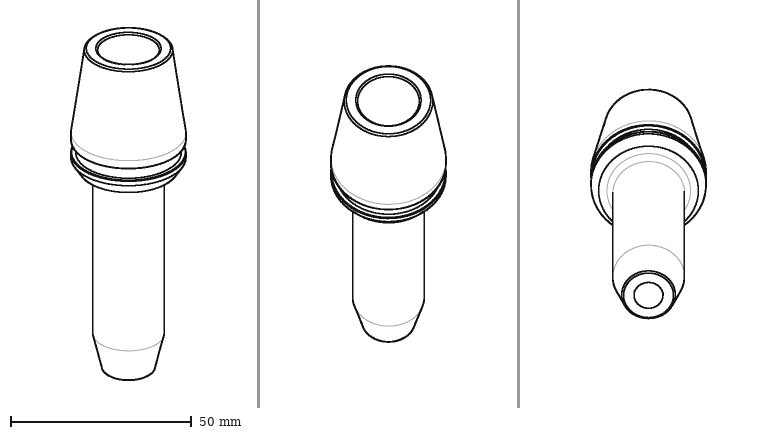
import cadquery as cq
import math

length = 101.6
collar_diameter = 31.9
groove_diameter = 29.3
collar_base_diameter = 27.6
shaft_diameter = 19.9
nose_diameter = 14.6
head_top_diameter = 24.4

nose_height = 11.2
shaft_top = 62.0
collar_base = 63.6
lower_rim_bottom = 67.0
groove_bottom = 68.6
groove_top = 72.2
cone_bottom = 75.0

head_top_chamfer = 0.5
nose_chamfer = 0.4
groove_chamfer = 0.2
shaft_fillet = collar_base - shaft_top

socket_diameter = 17.1
socket_chamfer = 0.5
socket_depth = 30.5
throat_diameter = 9.5
throat_depth = 10.2
through_diameter = 8.0
funnel_angle = 118.0


def make_body():
    """Revolve the outside outline, drawn as radius against height."""
    shaft_radius = shaft_diameter / 2
    fillet_center_radius = shaft_radius + shaft_fillet
    fillet_reach = shaft_fillet * math.sqrt(0.5)
    collar_radius = collar_diameter / 2
    return (
        cq.Workplane("XZ")
        .lineTo(nose_diameter / 2, 0)
        .lineTo(shaft_radius, nose_height)
        .lineTo(shaft_radius, shaft_top)
        .threePointArc(
            (fillet_center_radius - fillet_reach, shaft_top + fillet_reach),
            (fillet_center_radius, collar_base),
        )
        .lineTo(collar_base_diameter / 2, collar_base)
        .lineTo(collar_radius, lower_rim_bottom)
        .lineTo(collar_radius, cone_bottom)
        .lineTo(head_top_diameter / 2, length)
        .lineTo(0, length)
        .close()
        .revolve(360, (0, 0, 0), (0, 1, 0))
        .faces(">Z").chamfer(head_top_chamfer)
        .faces("<Z").chamfer(nose_chamfer)
    )


def make_groove():
    """Ring that cuts the collar groove, with its two rims chamfered."""
    floor_radius = groove_diameter / 2
    rim_radius = collar_diameter / 2
    chamfer_start = rim_radius - groove_chamfer
    return (
        cq.Workplane("XZ")
        .moveTo(floor_radius, groove_bottom)
        .lineTo(chamfer_start, groove_bottom)
        .lineTo(rim_radius, groove_bottom - groove_chamfer)
        .lineTo(rim_radius, groove_top + groove_chamfer)
        .lineTo(chamfer_start, groove_top)
        .lineTo(floor_radius, groove_top)
        .close()
        .revolve(360, (0, 0, 0), (0, 1, 0))
    )


def make_bore():
    """Revolve the inside outline from the open top down through the nose."""
    socket_radius = socket_diameter / 2
    throat_radius = throat_diameter / 2
    through_radius = through_diameter / 2
    funnel_depth = (socket_radius - throat_radius) / math.tan(math.radians(funnel_angle / 2))
    funnel_top = length - socket_depth
    throat_top = funnel_top - funnel_depth
    throat_bottom = throat_top - throat_depth
    return (
        cq.Workplane("XZ")
        .moveTo(0, length)
        .lineTo(socket_radius + socket_chamfer, length)
        .lineTo(socket_radius, length - socket_chamfer)
        .lineTo(socket_radius, funnel_top)
        .lineTo(throat_radius, throat_top)
        .lineTo(throat_radius, throat_bottom)
        .lineTo(through_radius, throat_bottom)
        .lineTo(through_radius, 0)
        .lineTo(0, 0)
        .close()
        .revolve(360, (0, 0, 0), (0, 1, 0))
    )


result = make_body().cut(make_groove()).cut(make_bore())